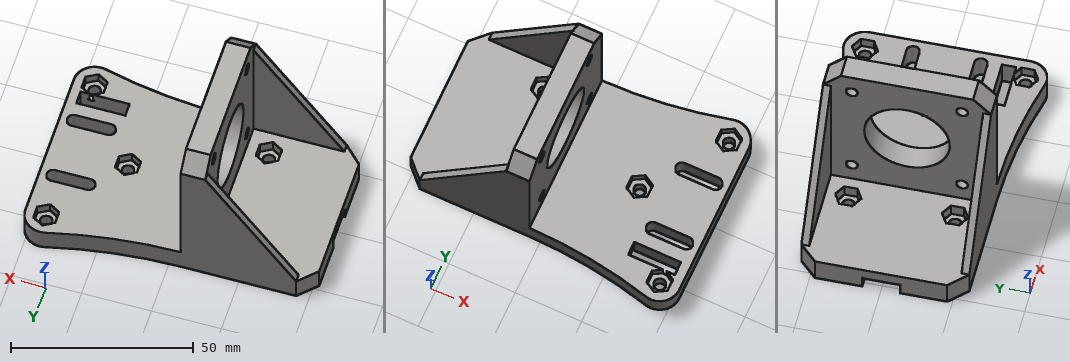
import cadquery as cq
import math

length = 82.85
base_thickness = 7.05
half_width = 23.6
corner_chamfer = 5.05
flare_radius = 6.0
flare_x = length - flare_radius
flare_y = 22.5

height = 50.0
plate_thickness = base_thickness
plate_x = 31.1
plate_back_x = plate_x + plate_thickness
rib_thickness = 2.2
motor_axis_z = 28.4
motor_bore = 24.0
motor_hole = 3.2
motor_hole_offset = 15.5

screw_hole = 3.4
base_nut_corners = 7.3
base_nut_depth = 3.5
base_hole_x = 24.7
base_hole_y = 15.0
flare_nut_corners = 7.2
flare_nut_depth = 3.0
center_hole_x = 60.4

slot_width = 3.65
slot_length = 13.8
slot_x = 73.8
slot_y = 9.5

channel_width = 4.0
channel_depth = 3.5
exit_length = 14.0
exit_x = 65.9
exit_y = -17.2
pocket_width = 10.6
pocket_length = 9.95
taper_length = 4.9
channel_start_slope = 0.165


def make_base():
    run = flare_x - plate_back_x
    drop = half_width - flare_y
    arc_radius = (run**2 + drop**2 - flare_radius**2) / (2 * (flare_radius - drop))
    end_angle = math.asin(run / (arc_radius + flare_radius))

    def on_arc(angle):
        x = plate_back_x + arc_radius * math.sin(angle)
        return x, half_width + arc_radius * (1 - math.cos(angle))

    mid_x, mid_y = on_arc(end_angle / 2)
    end_x, end_y = on_arc(end_angle)
    corner_angle = (math.pi / 2 + end_angle) / 2
    corner_x = flare_x + flare_radius * math.cos(corner_angle)
    corner_y = flare_y + flare_radius * math.sin(corner_angle)
    outline = (
        cq.Workplane("XY")
        .moveTo(0, -half_width + corner_chamfer)
        .lineTo(corner_chamfer, -half_width)
        .lineTo(plate_back_x, -half_width)
        .threePointArc((mid_x, -mid_y), (end_x, -end_y))
        .threePointArc((corner_x, -corner_y), (length, -flare_y))
        .lineTo(length, flare_y)
        .threePointArc((corner_x, corner_y), (end_x, end_y))
        .threePointArc((mid_x, mid_y), (plate_back_x, half_width))
        .lineTo(corner_chamfer, half_width)
        .lineTo(0, half_width - corner_chamfer)
        .close()
    )
    return outline.extrude(base_thickness)


def make_plate():
    plate = cq.Workplane("XY").box(plate_thickness, 2 * half_width, height, centered=(False, True, False))
    plate = plate.edges("|X and >Z").chamfer(corner_chamfer)
    holes = (
        cq.Workplane("YZ", origin=(0, 0, motor_axis_z))
        .rect(2 * motor_hole_offset, 2 * motor_hole_offset, forConstruction=True)
        .vertices()
        .circle(motor_hole / 2)
        .extrude(plate_thickness)
    )
    bore = cq.Workplane("YZ", origin=(0, 0, motor_axis_z)).circle(motor_bore / 2).extrude(plate_thickness)
    return plate.cut(holes).cut(bore).translate((plate_x, 0, 0))


def make_rib(outer_y, direction):
    profile = [
        (corner_chamfer, 0),
        (plate_back_x, 0),
        (plate_back_x, height - corner_chamfer),
        (plate_x, height - corner_chamfer),
        (corner_chamfer, base_thickness),
    ]
    return cq.Workplane("XZ", origin=(0, outer_y, 0)).polyline(profile).close().extrude(direction * rib_thickness)


def make_nut_hole(x, y, nut_corners, nut_depth):
    hole = cq.Workplane("XY").center(x, y).circle(screw_hole / 2).extrude(base_thickness)
    recess = (
        cq.Workplane("XY", origin=(x, y, base_thickness - nut_depth))
        .transformed(rotate=(0, 0, 90))
        .polygon(6, nut_corners)
        .extrude(nut_depth)
    )
    return hole.union(recess)


def make_slots():
    return (
        cq.Workplane("XY")
        .pushPoints([(slot_x, -slot_y), (slot_x, slot_y)])
        .slot2D(slot_length, slot_width)
        .extrude(base_thickness)
    )


def make_cable_channel():
    neck_x = pocket_length + taper_length
    half_pocket = pocket_width / 2
    half_channel = channel_width / 2
    start_direction = (1, -channel_start_slope)
    channel = (
        cq.Workplane("XY")
        .moveTo(0, half_pocket)
        .lineTo(pocket_length, half_pocket)
        .lineTo(neck_x, half_channel)
        .spline([(exit_x, exit_y + half_channel)], tangents=[start_direction, (1, 0)], includeCurrent=True)
        .lineTo(exit_x, exit_y - half_channel)
        .spline([(neck_x, -half_channel)], tangents=[(-1, 0), (-1, channel_start_slope)], includeCurrent=True)
        .lineTo(pocket_length, -half_pocket)
        .lineTo(0, -half_pocket)
        .close()
        .extrude(channel_depth)
    )
    cable_exit = (
        cq.Workplane("XY", origin=(exit_x, exit_y, 0))
        .box(exit_length, channel_width, base_thickness, centered=(False, True, False))
    )
    return channel.union(cable_exit)


base_hole_places = [(base_hole_x, -base_hole_y), (base_hole_x, base_hole_y)]
flare_hole_places = [(center_hole_x, 0), (flare_x, -flare_y), (flare_x, flare_y)]

result = make_base().union(make_plate())
result = result.union(make_rib(half_width, 1)).union(make_rib(-half_width, -1))
for x, y in base_hole_places:
    result = result.cut(make_nut_hole(x, y, base_nut_corners, base_nut_depth))
for x, y in flare_hole_places:
    result = result.cut(make_nut_hole(x, y, flare_nut_corners, flare_nut_depth))
result = result.cut(make_slots()).cut(make_cable_channel())